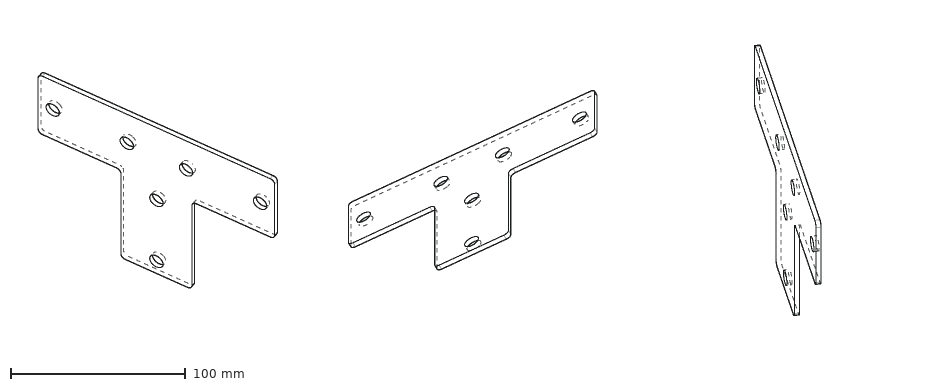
import cadquery as cq

length = 160.0
height = 120.0
thickness = 3.0
arm_width = 48.0
corner_radius = 3.0

hole_diameter = 9.0
end_margin = 10.0
inner_hole_spacing = 40.0
stem_hole_drop = 60.0

top = height / 2
bottom = -height / 2
bar_center = top - arm_width / 2


def make_plate():
    """T outline with every outer and inner corner rounded."""
    bar = cq.Workplane("XY").box(length, thickness, arm_width).translate((0, 0, bar_center))
    stem = cq.Workplane("XY").box(arm_width, thickness, height)
    return bar.union(stem).clean().edges("|Y").fillet(corner_radius)


def make_holes():
    """Through-hole cylinders: four along the bar and two down the stem."""
    outer_x = length / 2 - end_margin
    inner_x = inner_hole_spacing / 2
    bar_points = [(x, bar_center) for x in (-outer_x, -inner_x, inner_x, outer_x)]
    stem_points = [(0, top - stem_hole_drop), (0, bottom + end_margin)]
    return (
        cq.Workplane("XZ", origin=(0, thickness / 2, 0))
        .pushPoints(bar_points + stem_points)
        .circle(hole_diameter / 2)
        .extrude(thickness)
    )


result = make_plate().cut(make_holes())